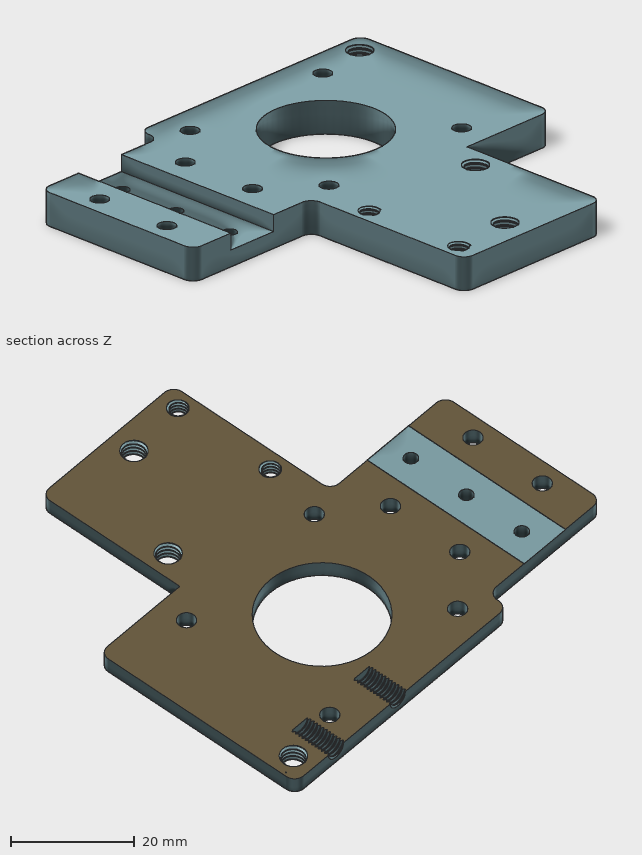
import cadquery as cq
import math


thickness = 6.0
motor_flange = 42.5
overall_length_x = 72.5
overall_length_y = 79.0
block_length_y = 51.5
arm_width = 32.0
left_x = -motor_flange / 2
block_right_x = motor_flange / 2
block_bottom_y = -motor_flange / 2
block_top_y = block_bottom_y + block_length_y
arm_right_x = left_x + overall_length_x
arm_top_y = block_bottom_y + arm_width
neck_half_width = 17.0
neck_bottom_y = block_top_y - overall_length_y
corner_radius = 2.0

bore_diameter = 22.5
motor_hole_spacing = 31.0
clearance_diameter = 3.2

slot_center_y = -35.0
slot_width = 10.0
slot_depth = 3.0
slot_hole_diameter = 2.5
slot_hole_pitch = 12.0
neck_hole_spacing_x = 15.0
neck_hole_spacing_y = 20.0

M5 = (5.0, 0.8)
M4 = (4.0, 0.7)
m5_edge_offset = 4.0
m5_inner_offset_x = 6.0
m5_outer_offset_x = 5.0
m5_outer_height = 15.0
m5_start_angle = 225.0
m5_positions = [
    (left_x + m5_edge_offset, block_top_y - m5_edge_offset),
    (block_right_x + m5_inner_offset_x, arm_top_y - m5_edge_offset),
    (arm_right_x - m5_outer_offset_x, block_bottom_y + m5_outer_height),
]
m4_start_angle = 165.0
m4_edge_offset_x = 4.0
m4_edge_offset_y = 3.0
m4_spacing = 20.0
m4_outer_x = arm_right_x - m4_edge_offset_x
m4_y = block_bottom_y + m4_edge_offset_y
m4_positions = [(m4_outer_x - m4_spacing, m4_y), (m4_outer_x, m4_y)]

side_hole_depth = 8.0
side_start_angle = 125.0
side_hole_edge_offset = 10.0
side_hole_spacing = 15.0
first_side_y = block_top_y - side_hole_edge_offset
side_hole_ys = [first_side_y, first_side_y - side_hole_spacing]


def plate():
    """Plate outline with every corner rounded except the one inside the arm."""
    outline = [
        (left_x, block_top_y),
        (block_right_x, block_top_y),
        (block_right_x, arm_top_y),
        (arm_right_x, arm_top_y),
        (arm_right_x, block_bottom_y),
        (neck_half_width, block_bottom_y),
        (neck_half_width, neck_bottom_y),
        (-neck_half_width, neck_bottom_y),
        (-neck_half_width, block_bottom_y),
        (left_x, block_bottom_y),
    ]
    body = cq.Workplane("XY").polyline(outline).close().extrude(thickness)
    sharp_corner = cq.selectors.NearestToPointSelector((block_right_x, arm_top_y, thickness / 2))
    rounded = cq.selectors.SubtractSelector(cq.selectors.StringSyntaxSelector("|Z"), sharp_corner)
    return body.edges(rounded).fillet(corner_radius)


def through_holes(centers, diameter):
    """Plain cylinders through the full thickness."""
    return cq.Workplane("XY").pushPoints(centers).circle(diameter / 2).extrude(thickness)


def cross_slot():
    """Rectangular channel across the top of the neck."""
    return (
        cq.Workplane("XY", origin=(0, slot_center_y, thickness - slot_depth))
        .rect(2 * neck_half_width, slot_width)
        .extrude(slot_depth)
    )


def tapped_hole(thread, depth, start_angle):
    """Hole with a right-hand helical groove, open at Z = 0 and running down to -depth.

    start_angle is where the groove is deepest on the open face.
    """
    nominal, pitch = thread
    major_radius = nominal / 2
    triangle_height = math.sqrt(3) / 2 * pitch
    thread_height = 5 / 8 * triangle_height
    minor_radius = major_radius - thread_height
    flank_slope = math.tan(math.radians(60 / 2))
    crest_half = pitch / 16
    overlap = 0.1 * pitch
    inner_radius = minor_radius - overlap
    root_half = crest_half + (major_radius - inner_radius) * flank_slope

    turns = math.ceil(depth / pitch) + 1
    start_z = -turns * pitch
    helix = cq.Wire.makeHelix(pitch, (turns + 1) * pitch, minor_radius)
    groove = (
        cq.Workplane("XZ")
        .polyline(
            [
                (inner_radius, -root_half),
                (major_radius, -crest_half),
                (major_radius, crest_half),
                (inner_radius, root_half),
            ]
        )
        .close()
        .sweep(cq.Workplane(obj=helix), isFrenet=True)
        .translate((0, 0, start_z))
    )
    core = cq.Workplane("XY").circle(minor_radius).extrude(-depth)
    envelope = cq.Workplane("XY").circle(nominal).extrude(-depth)
    return core.union(groove.intersect(envelope)).rotate((0, 0, 0), (0, 0, 1), start_angle)


def motor_holes():
    half = motor_hole_spacing / 2
    return through_holes([(x, y) for x in (-half, half) for y in (-half, half)], clearance_diameter)


def neck_holes():
    half_x = neck_hole_spacing_x / 2
    half_y = neck_hole_spacing_y / 2
    centers = [(x, slot_center_y + y) for x in (-half_x, half_x) for y in (-half_y, half_y)]
    return through_holes(centers, clearance_diameter)


def slot_holes():
    centers = [(i * slot_hole_pitch, slot_center_y) for i in (-1, 0, 1)]
    return through_holes(centers, slot_hole_diameter)


result = plate()
result = result.cut(through_holes([(0, 0)], bore_diameter))
result = result.cut(motor_holes())
result = result.cut(cross_slot())
result = result.cut(neck_holes())
result = result.cut(slot_holes())

m5_tap = tapped_hole(M5, thickness, m5_start_angle)
m4_tap = tapped_hole(M4, thickness, m4_start_angle)
side_tap = tapped_hole(M4, side_hole_depth, side_start_angle).rotate((0, 0, 0), (0, 1, 0), -90)

taps = [m5_tap.translate((x, y, thickness)) for x, y in m5_positions]
taps += [m4_tap.translate((x, y, thickness)) for x, y in m4_positions]
taps += [side_tap.translate((left_x, y, thickness / 2)) for y in side_hole_ys]

threaded = result.val().cut(*[tap.val() for tap in taps])
result = cq.Workplane(obj=threaded.Solids()[0])